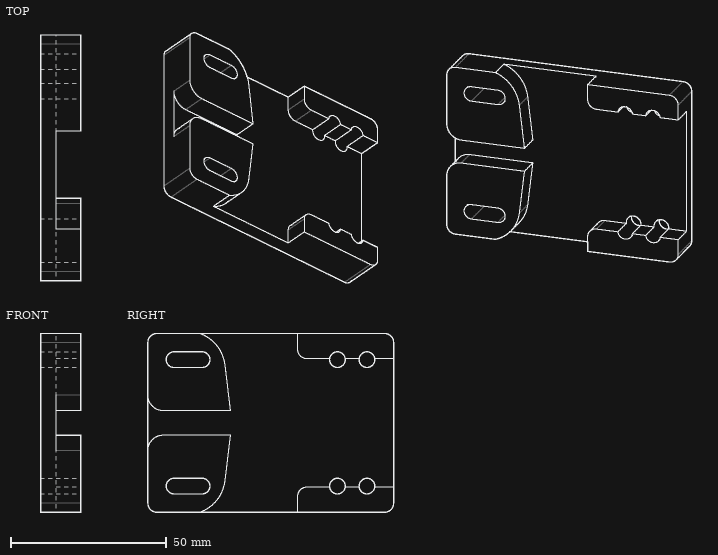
import cadquery as cq
import math

thickness = 13.0
length = 79.25
height = 57.7
corner_radius = 3.0
floor_thickness = 5.0
channel_depth = thickness - floor_thickness

mouth_half_height = 4.0
mouth_lip_radius = 5.0

throat_y = -13.0
flare_start_y = -14.75
flare_start_z = 18.6
flare_end_y = -22.9

straight_wall_y = 8.6
straight_wall_height = 5.15
wall_lip_radius = 3.0

hole_diameter = 5.0
hole_row_z = 20.4
hole_positions_y = (21.5, 31.0)
slot_center_y = -26.6
slot_length = 14.0


def make_plate():
    """Block with rounded corners, its outer face at X = 0."""
    block = cq.Workplane("XY").box(thickness, length, height, centered=(False, True, True))
    return block.edges("|X").fillet(corner_radius)


def on_floor():
    """YZ sketch plane on the channel floor."""
    return cq.Workplane("YZ").workplane(offset=floor_thickness)


def lip_middle(wall_y, shelf_z, radius):
    """Middle of the rounded lip joining a wall facing -Y to a shelf facing -Z."""
    inset = radius * (1 - math.sqrt(0.5))
    return (wall_y + inset, shelf_z + inset)


def make_upper_channel():
    """Upper half of the open channel, bounded below by the plane Z = 0."""
    end_y = length / 2
    top_z = height / 2
    lip_start_z = top_z - straight_wall_height
    shelf_z = lip_start_z - wall_lip_radius
    return (
        on_floor()
        .moveTo(-end_y, 0)
        .lineTo(-end_y, mouth_half_height + mouth_lip_radius)
        .threePointArc(
            lip_middle(-end_y, mouth_half_height, mouth_lip_radius),
            (-end_y + mouth_lip_radius, mouth_half_height),
        )
        .lineTo(throat_y, mouth_half_height)
        .lineTo(flare_start_y, flare_start_z)
        .tangentArcPoint((flare_end_y, top_z), relative=False)
        .lineTo(straight_wall_y, top_z)
        .lineTo(straight_wall_y, lip_start_z)
        .threePointArc(
            lip_middle(straight_wall_y, shelf_z, wall_lip_radius),
            (straight_wall_y + wall_lip_radius, shelf_z),
        )
        .lineTo(end_y, shelf_z)
        .lineTo(end_y, 0)
        .close()
        .extrude(channel_depth)
    )


def make_mounting_cuts():
    """Two rows of through holes and slots."""
    rows = (-hole_row_z, hole_row_z)
    hole_points = [(y, z) for y in hole_positions_y for z in rows]
    slot_points = [(slot_center_y, z) for z in rows]
    holes = cq.Workplane("YZ").pushPoints(hole_points).circle(hole_diameter / 2).extrude(thickness)
    slots = cq.Workplane("YZ").pushPoints(slot_points).slot2D(slot_length, hole_diameter).extrude(thickness)
    return holes.union(slots)


upper_channel = make_upper_channel()
channel = upper_channel.union(upper_channel.mirror("XY"))
result = make_plate().cut(channel).cut(make_mounting_cuts())